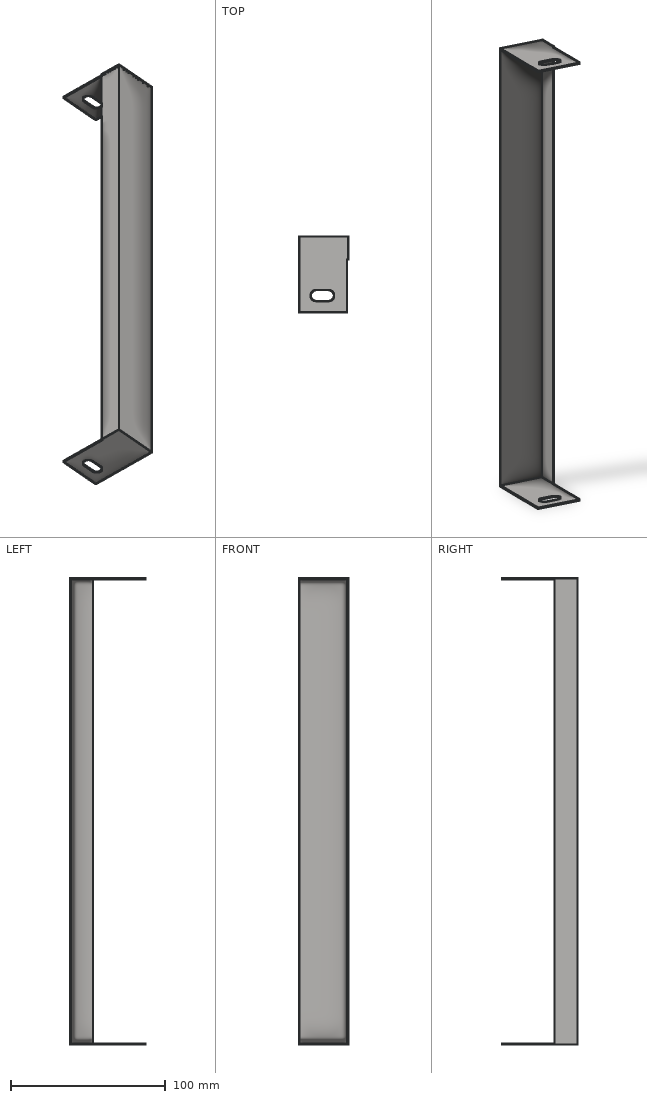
import cadquery as cq

thickness = 0.8
back_width = 31.0
clear_height = 300.0
depth = 49.1
side_flange_depth = 15.1

slot_length = 15.0
slot_width = 7.0
slot_center_x = 15.0
slot_center_to_front = 10.8

overall_width = back_width + thickness
overall_height = clear_height + 2 * thickness


def sheet(size_x, size_y, size_z, x=0.0, y=0.0, z=0.0):
    """Rectangular sheet with its lowest corner at (x, y, z)."""
    return cq.Workplane("XY").box(size_x, size_y, size_z, centered=False).translate((x, y, z))


def back_plate():
    return sheet(overall_width, thickness, overall_height, y=depth - thickness)


def side_flange():
    return sheet(
        thickness,
        side_flange_depth,
        overall_height,
        x=back_width,
        y=depth - side_flange_depth,
    )


def end_flange(bottom_z):
    return sheet(back_width, depth, thickness, z=bottom_z)


def slot_cutter():
    """Tool that passes through both end flanges."""
    return (
        cq.Workplane("XY")
        .center(slot_center_x, slot_center_to_front)
        .slot2D(slot_length, slot_width)
        .extrude(overall_height)
    )


result = back_plate().union(side_flange())
for flange_bottom in (0.0, overall_height - thickness):
    result = result.union(end_flange(flange_bottom))
result = result.cut(slot_cutter())